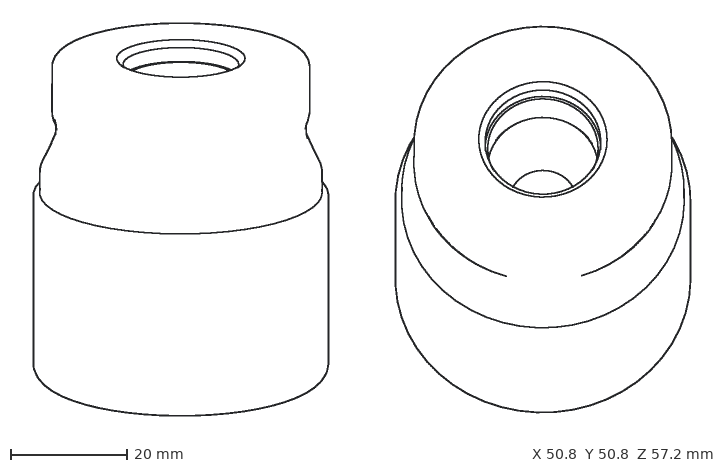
import cadquery as cq
import math


total_height = 57.15
base_height = 33.05

base_diameter = 50.8
base_radius = base_diameter / 2
shoulder_radius = 24.3
neck_radius = 21.55
rim_radius = 22.2

shoulder_top_z = 37.2
neck_bottom_z = 43.25
neck_top_z = 45.7
rim_bottom_z = 47.1

rim_round = 1.6
neck_round = 2.0
base_top_round = 0.6
base_bottom_round = 2.5

mouth_chamfer = 1.1
recess_radius = 9.95
land_radius = 9.5
land_top_z = 53.55
land_bottom_z = 46.25
taper_end_z = 45.1
recess_round = 0.8

throat_round = 3.15
throat_radius = 5.8
throat_floor_z = base_height + throat_round

hole_radius = 5.15
hole_taper_angle = 7.0
hole_taper_height = (throat_radius - hole_radius) / math.tan(math.radians(hole_taper_angle))


def round_ring(body, radius, height, rounding):
    """Round the circular edge that lies at the given radius and height."""
    tolerance = 0.005
    rings = [
        edge
        for edge in body.edges("%CIRCLE").vals()
        if abs(edge.radius() - radius) < tolerance and abs(edge.Center().z - height) < tolerance
    ]
    return body.newObject(rings).fillet(rounding)


def make_head():
    """Grooved head with a stepped bore that narrows into a rounded throat."""
    throat_arc_middle = (
        throat_radius + throat_round * (1 - math.cos(math.pi / 4)),
        base_height + throat_round * math.sin(math.pi / 4),
    )
    head = (
        cq.Workplane("XZ")
        .moveTo(throat_radius, base_height)
        .lineTo(shoulder_radius, base_height)
        .lineTo(shoulder_radius, shoulder_top_z)
        .lineTo(neck_radius, neck_bottom_z)
        .lineTo(neck_radius, neck_top_z)
        .lineTo(rim_radius, rim_bottom_z)
        .lineTo(rim_radius, total_height)
        .lineTo(recess_radius + mouth_chamfer, total_height)
        .lineTo(recess_radius, total_height - mouth_chamfer)
        .lineTo(recess_radius, land_top_z)
        .lineTo(land_radius, land_top_z)
        .lineTo(land_radius, land_bottom_z)
        .lineTo(recess_radius, taper_end_z)
        .lineTo(recess_radius, throat_floor_z)
        .lineTo(throat_radius + throat_round, throat_floor_z)
        .threePointArc(throat_arc_middle, (throat_radius, base_height))
        .close()
        .revolve(360, (0, 0, 0), (0, 1, 0))
    )
    head = round_ring(head, rim_radius, total_height, rim_round)
    head = round_ring(head, rim_radius, rim_bottom_z, neck_round)
    head = round_ring(head, neck_radius, neck_top_z, neck_round)
    head = round_ring(head, neck_radius, neck_bottom_z, neck_round)
    head = round_ring(head, shoulder_radius, shoulder_top_z, neck_round)
    head = round_ring(head, recess_radius, taper_end_z, recess_round)
    return round_ring(head, recess_radius, throat_floor_z, recess_round)


def make_base():
    """Cylindrical base whose hole tapers in from the throat, then runs straight through."""
    base = (
        cq.Workplane("XZ")
        .moveTo(hole_radius, 0)
        .lineTo(base_radius, 0)
        .lineTo(base_radius, base_height)
        .lineTo(throat_radius, base_height)
        .lineTo(hole_radius, base_height - hole_taper_height)
        .close()
        .revolve(360, (0, 0, 0), (0, 1, 0))
    )
    base = round_ring(base, base_radius, base_height, base_top_round)
    return round_ring(base, base_radius, 0, base_bottom_round)


head = make_head()
base = make_base()
result = cq.Compound.makeCompound([head.val(), base.val()])